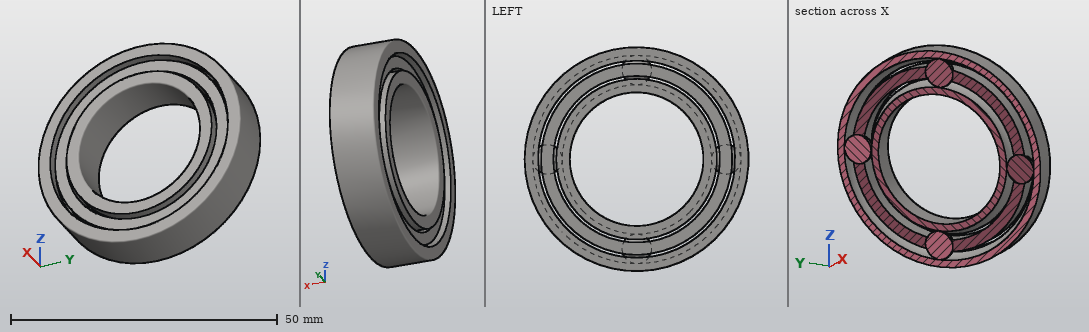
import cadquery as cq

outer_diameter = 42.0
bearing_width = 9.0
bore_diameter = 25.0
edge_rounding = 0.3
race_gap = 3.4
cage_thickness = 2.3
cage_inset = 1.0
ball_diameter = 5.55
ball_count = 4

outer_radius = outer_diameter / 2
bore_radius = bore_diameter / 2
pitch_radius = (outer_radius + bore_radius) / 2
inner_race_radius = pitch_radius - race_gap / 2
outer_race_radius = pitch_radius + race_gap / 2
ball_radius = ball_diameter / 2
cage_width = bearing_width - 2 * cage_inset


def make_tube(large_radius, small_radius, width):
    """Plain tube along X, centred on the origin."""
    return (
        cq.Workplane("YZ", origin=(-width / 2, 0, 0))
        .circle(large_radius)
        .circle(small_radius)
        .extrude(width)
    )


def make_ball(index):
    """Ball on the pitch circle, with the first ball on the +Y axis."""
    ball = cq.Workplane("XY").sphere(ball_radius).translate((0, pitch_radius, 0))
    return ball.rotate((0, 0, 0), (1, 0, 0), index * 360 / ball_count)


def make_raceway():
    """Torus swept by a ball around the bearing axis, used to cut the grooves."""
    return cq.Workplane(cq.Solid.makeTorus(pitch_radius, ball_radius, dir=cq.Vector(1, 0, 0)))


def make_outer_ring():
    ring = make_tube(outer_radius, outer_race_radius, bearing_width)
    outside_edges = cq.selectors.RadiusNthSelector(-1)
    return ring.edges(outside_edges).fillet(edge_rounding).cut(make_raceway())


def make_inner_ring():
    ring = make_tube(inner_race_radius, bore_radius, bearing_width)
    bore_edges = cq.selectors.RadiusNthSelector(0)
    return ring.edges(bore_edges).fillet(edge_rounding).cut(make_raceway())


def make_cage(balls):
    """Tube between the rings, with a spherical pocket for each ball."""
    cage = make_tube(
        pitch_radius + cage_thickness / 2,
        pitch_radius - cage_thickness / 2,
        cage_width,
    )
    for ball in balls:
        cage = cage.cut(ball)
    return cage


balls = [make_ball(index) for index in range(ball_count)]
outer_ring = make_outer_ring()
inner_ring = make_inner_ring()
cage = make_cage(balls)

result = cq.Compound.makeCompound(
    [
        outer_ring.solids().val(),
        inner_ring.solids().val(),
        cage.solids().val(),
        *[ball.val() for ball in balls],
    ]
)